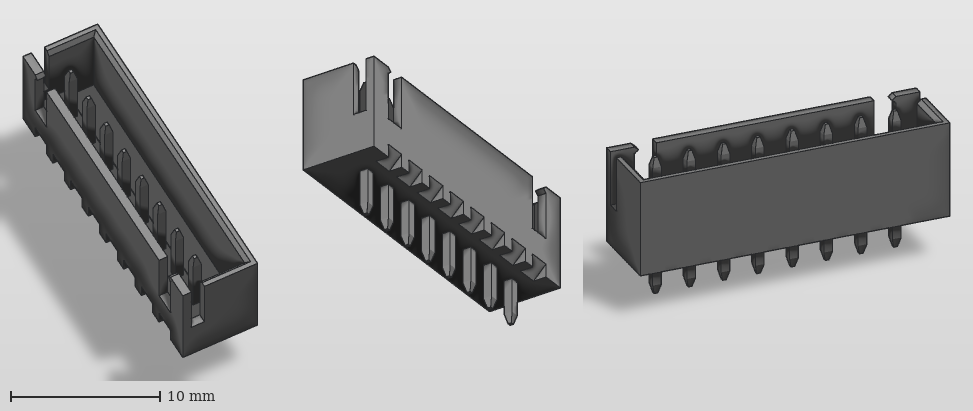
import cadquery as cq

pin_count = 8
pitch = 2.5
length = 22.6
depth = 5.7
height = 7.0
front_to_pins = 2.3
front_y = -front_to_pins
back_y = front_y + depth

wall = 0.65
lead_in = 0.3
floor_z = 2.0
back_floor_z = 1.3
front_to_step = 2.87
step_run = 0.28
step_top_y = front_y + front_to_step
step_bottom_y = step_top_y + step_run
cavity_length = length - 2 * wall
cavity_front_y = front_y + wall
cavity_back_y = back_y - wall

slot_bottom_z = 3.0
front_slot_width = 1.6
end_slot_width = 1.0
nub_reach = 0.3
nub_height = 0.5

relief_width = 1.6
relief_size = 1.0

pin_width = 0.64
pin_top_z = 6.9
pin_bottom_z = -3.3
tip_length = 0.7
tip_width = 0.26

row_length = pitch * (pin_count - 1)
pin_places = [pitch * i - row_length / 2 for i in range(pin_count)]


def block(x_min, x_max, y_min, y_max, z_min, z_max):
    """Axis-aligned box between the given limits."""
    size = (x_max - x_min, y_max - y_min, z_max - z_min)
    return cq.Workplane("XY").box(*size, centered=False).translate((x_min, y_min, z_min))


def prism_along_x(points, width, x_centre):
    """Outline of (Y, Z) points extruded along X, centred on x_centre."""
    outline = cq.Workplane("YZ").polyline(points).close()
    return outline.extrude(width / 2, both=True).translate((x_centre, 0, 0))


def make_cavity():
    """Open-topped cavity whose floor slopes down to a deeper level at the back."""
    profile = [
        (cavity_front_y, height),
        (cavity_front_y, floor_z),
        (step_top_y, floor_z),
        (step_bottom_y, back_floor_z),
        (cavity_back_y, back_floor_z),
        (cavity_back_y, height),
    ]
    return prism_along_x(profile, cavity_length, 0)


def make_lead_in():
    """45 degree bevel around the cavity mouth on the back and end walls."""
    mouth_length = cavity_length + 2 * lead_in
    mouth_back_y = cavity_back_y + lead_in
    bevel = (
        cq.Workplane("XY", origin=(0, cavity_front_y, height))
        .rect(mouth_length, 2 * (mouth_back_y - cavity_front_y))
        .extrude(-lead_in, taper=45)
    )
    behind_front_wall = block(-length, length, cavity_front_y, back_y, 0, height)
    return bevel.intersect(behind_front_wall)


def make_end_slots():
    """Slot through both end walls, just behind the front wall."""
    slot_back_y = cavity_front_y + end_slot_width
    return block(-length, length, cavity_front_y, slot_back_y, slot_bottom_z, height)


def make_front_slot(x_centre):
    """Slot through the front wall in line with an outermost pin."""
    half = front_slot_width / 2
    return block(x_centre - half, x_centre + half, front_y, cavity_front_y, slot_bottom_z, height)


def make_nub(x_centre):
    """Pointed latch nub on the outer side of a front slot, at its top."""
    outward = 1 if x_centre > 0 else -1
    root_x = x_centre + outward * front_slot_width / 2
    points = [
        (root_x, height),
        (root_x - outward * nub_reach, height - nub_height / 2),
        (root_x, height - nub_height),
    ]
    nub = cq.Workplane("XZ").polyline(points).close().extrude(-wall)
    return nub.translate((0, front_y, 0))


def make_relief(x_centre):
    """45 degree wedge cut from the lower front edge."""
    points = [(front_y, 0), (front_y, relief_size), (front_y + relief_size, 0)]
    return prism_along_x(points, relief_width, x_centre)


def make_tip(base_z, end_z):
    """Square taper from the full pin width down to the tip width."""
    return (
        cq.Workplane("XY", origin=(0, 0, base_z))
        .rect(pin_width, pin_width)
        .workplane(offset=end_z - base_z)
        .rect(tip_width, tip_width)
        .loft(combine=True)
    )


def make_pin(x_centre):
    """Square pin with a tapered tip at each end."""
    shaft_top_z = pin_top_z - tip_length
    shaft_bottom_z = pin_bottom_z + tip_length
    half = pin_width / 2
    shaft = block(-half, half, -half, half, shaft_bottom_z, shaft_top_z)
    upper_tip = make_tip(shaft_top_z, pin_top_z)
    lower_tip = make_tip(shaft_bottom_z, pin_bottom_z)
    return shaft.union(upper_tip).union(lower_tip).translate((x_centre, 0, 0))


housing = block(-length / 2, length / 2, front_y, back_y, 0, height)
housing = housing.cut(make_cavity()).cut(make_lead_in()).cut(make_end_slots())

for outer_pin_x in (pin_places[0], pin_places[-1]):
    housing = housing.cut(make_front_slot(outer_pin_x)).union(make_nub(outer_pin_x))

for pin_x in pin_places:
    housing = housing.cut(make_relief(pin_x)).union(make_pin(pin_x))

result = housing